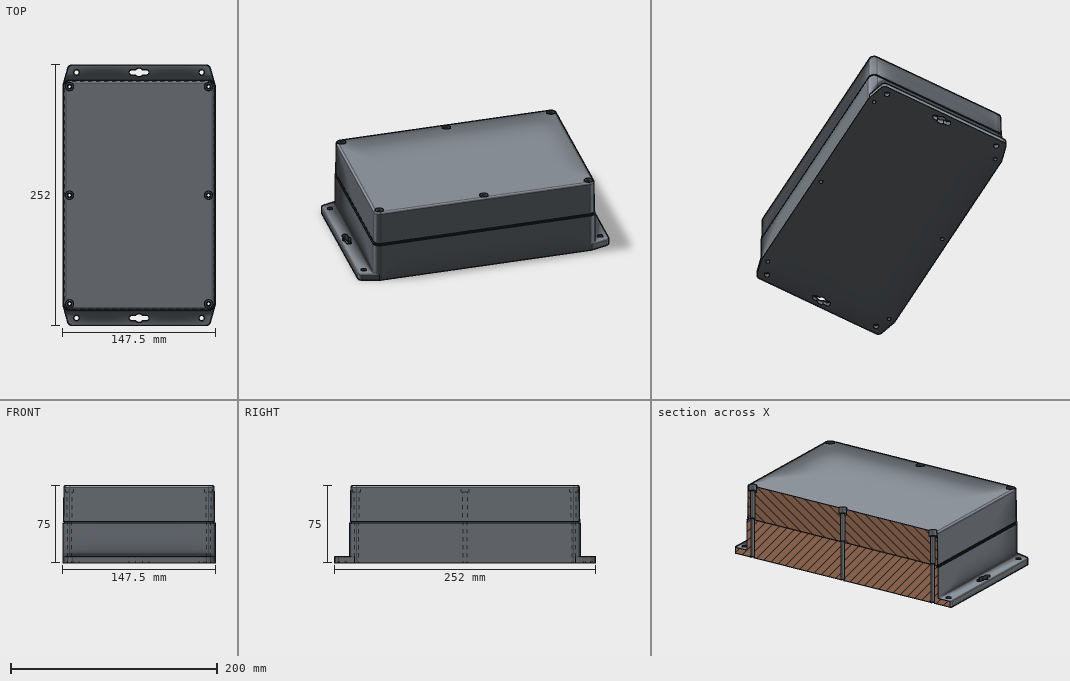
import cadquery as cq
import math

TOTAL_LENGTH = 252.0
TOTAL_HEIGHT = 75.0

BASE_WIDTH = 147.5
BASE_LENGTH = 223.0
BASE_CORNER_RADIUS = 6.5
BASE_DRAFT = 0.1
BASE_RIM_Z = 38.5

PARTING_Z = 40.3
LID_SETBACK = 0.63
LIP_SETBACK = 1.5
LID_DRAFT = 0.8
LID_EDGE_FILLET = 2.0

FLANGE_THICKNESS = 6.5
FLANGE_SIDE_ANGLE = 15.5
FLANGE_CORNER_RADIUS = 4.8
FLANGE_EDGE_FILLET = 0.8
FOOT_FILLET = 0.5

MOUNT_ROW_Y = 118.7
MOUNT_HOLE_X = 60.5
MOUNT_HOLE_DIAMETER = 5.0
KEYHOLE_LENGTH = 19.2
KEYHOLE_SLOT_WIDTH = 5.0
KEYHOLE_CENTRE_DIAMETER = 8.3

SCREW_HEAD_DIAMETER = 8.0
SCREW_HEAD_DEPTH = 6.3
LID_HOLE_DIAMETER = 4.8
BASE_HOLE_DIAMETER = 3.5

CORNER_X = BASE_WIDTH / 2 - BASE_CORNER_RADIUS
CORNER_Y = BASE_LENGTH / 2 - BASE_CORNER_RADIUS
SCREW_POINTS = [(x, y) for x in (-CORNER_X, CORNER_X) for y in (-CORNER_Y, 0, CORNER_Y)]


def rounded_block(setback, bottom_z, top_z, draft):
    """Block set back from the base's foot outline; its walls lean inwards by the draft angle."""
    outline = (
        cq.Sketch()
        .rect(BASE_WIDTH - 2 * setback, BASE_LENGTH - 2 * setback)
        .vertices()
        .fillet(BASE_CORNER_RADIUS - setback)
    )
    plane = cq.Workplane("XY").workplane(offset=bottom_z)
    return plane.placeSketch(outline).extrude(top_z - bottom_z, taper=draft)


def vertical_cylinders(points, diameter, bottom_z, top_z):
    plane = cq.Workplane("XY").workplane(offset=bottom_z)
    return plane.pushPoints(points).circle(diameter / 2).extrude(top_z - bottom_z)


def make_flange():
    """Flange on the +Y end; its tapered sides leave the base corners tangentially."""
    angle = math.radians(FLANGE_SIDE_ANGLE)
    root_x = CORNER_X + BASE_CORNER_RADIUS * math.cos(angle)
    root_y = CORNER_Y + BASE_CORNER_RADIUS * math.sin(angle)
    end_y = TOTAL_LENGTH / 2
    end_x = root_x - (end_y - root_y) * math.tan(angle)
    flange = (
        cq.Workplane("XY")
        .polyline([(-root_x, root_y), (root_x, root_y), (end_x, end_y), (-end_x, end_y)])
        .close()
        .extrude(FLANGE_THICKNESS)
    )
    flange = flange.edges("|Z and >Y").fillet(FLANGE_CORNER_RADIUS)
    flange = flange.faces(">Z").edges("not <Y").fillet(FLANGE_EDGE_FILLET)
    return flange.cut(make_mounting_holes())


def make_mounting_holes():
    """Two round holes and a central slot widened by a circle, all through the flange."""
    row = cq.Workplane("XY").center(0, MOUNT_ROW_Y)
    slot = row.slot2D(KEYHOLE_LENGTH, KEYHOLE_SLOT_WIDTH).extrude(FLANGE_THICKNESS)
    centre = row.circle(KEYHOLE_CENTRE_DIAMETER / 2).extrude(FLANGE_THICKNESS)
    mount_points = [(-MOUNT_HOLE_X, MOUNT_ROW_Y), (MOUNT_HOLE_X, MOUNT_ROW_Y)]
    round_holes = vertical_cylinders(mount_points, MOUNT_HOLE_DIAMETER, 0, FLANGE_THICKNESS)
    return slot.union(centre).union(round_holes)


def make_base():
    base = rounded_block(0, 0, BASE_RIM_Z, BASE_DRAFT)
    flange = make_flange()
    base = base.union(flange).union(flange.mirror("XZ"))
    for side in (-1, 1):
        foot = cq.NearestToPointSelector((0, side * BASE_LENGTH / 2, FLANGE_THICKNESS))
        base = base.edges("|X").edges(foot).fillet(FOOT_FILLET)
    base = base.union(rounded_block(LIP_SETBACK, BASE_RIM_Z, PARTING_Z, 0))
    return base.cut(vertical_cylinders(SCREW_POINTS, BASE_HOLE_DIAMETER, 0, PARTING_Z))


def make_lid():
    lid = rounded_block(LID_SETBACK, PARTING_Z, TOTAL_HEIGHT, LID_DRAFT)
    lid = lid.faces(">Z").edges().fillet(LID_EDGE_FILLET)
    head_seat_z = TOTAL_HEIGHT - SCREW_HEAD_DEPTH
    lid = lid.cut(vertical_cylinders(SCREW_POINTS, LID_HOLE_DIAMETER, PARTING_Z, TOTAL_HEIGHT))
    return lid.cut(vertical_cylinders(SCREW_POINTS, SCREW_HEAD_DIAMETER, head_seat_z, TOTAL_HEIGHT))


base = make_base()
lid = make_lid()
result = cq.Compound.makeCompound([base.solids().val(), lid.solids().val()])